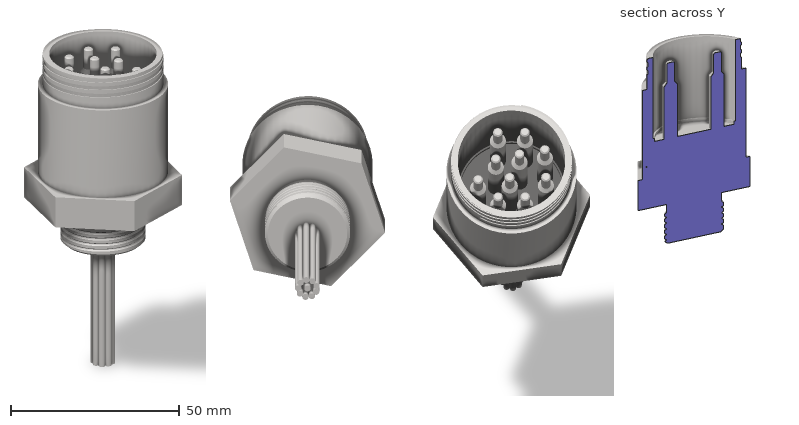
import cadquery as cq
import math

HEX_HEIGHT = 9.8
SHOULDER_Z = 38.35
RIM_Z = 48.2
STUD_LENGTH = 12.5
WIRE_LENGTH = 40.0

HEX_SIDES = 6
HEX_ACROSS_FLATS = 41.0
HEX_ACROSS_CORNERS = HEX_ACROSS_FLATS / math.cos(math.pi / HEX_SIDES)
BODY_DIAMETER = 38.8
COLLAR_DIAMETER = 36.0

BORE_DIAMETER = 32.0
BORE_DEPTH = 26.0
FLOOR_DIAMETER = 31.0
FLOOR_RECESS = 1.0
FLOOR_Z = RIM_Z - BORE_DEPTH - FLOOR_RECESS

COLLAR_PITCH = 2.42
COLLAR_GROOVE_WIDTH = 1.2
COLLAR_GROOVE_DEPTH = 0.3
COLLAR_THREAD_LENGTH = 6.8
COLLAR_GROOVE_START_Z = RIM_Z - COLLAR_THREAD_LENGTH
COLLAR_GROOVE_START_ANGLE = 170.0

NECK_DIAMETER = 24.25
NECK_LENGTH = 2.4
STUD_DIAMETER = 25.4
STUD_LEAD_IN = 0.8
STUD_END_DIAMETER = 23.6
STUD_PITCH = 1.814
STUD_GROOVE_WIDTH = 0.9
STUD_GROOVE_DEPTH = 0.55
STUD_TURNS = 5.0
STUD_GROOVE_END_GAP = 0.92
STUD_GROOVE_START_Z = STUD_GROOVE_END_GAP - STUD_LENGTH
STUD_GROOVE_START_ANGLE = 90.0

PIN_DIAMETER = 2.8
PIN_TIP_DIAMETER = 2.0
PIN_BASE_DIAMETER = 4.8
PIN_TIP_DEPTH = 2.8
PIN_TOP_Z = RIM_Z - PIN_TIP_DEPTH
PIN_EXPOSED_LENGTH = 6.4
PIN_CONE_HEIGHT = 1.1
OUTER_PIN_RADIUS = 11.0
OUTER_PIN_ANGLES = (0, 43, 137, 180, 223, 270, 317)
INNER_PIN_POINTS = ((0.0, 5.0), (-4.0, -1.0), (4.0, -1.0))

WIRE_DIAMETER = 1.9
WIRE_RING_RADIUS = 2.8
RING_WIRE_COUNT = 9
FIRST_WIRE_ANGLE = 90.0

OVERLAP = 0.5


def polar_point(radius, angle):
    radians = math.radians(angle)
    return radius * math.cos(radians), radius * math.sin(radians)


def cylinder(diameter, bottom_z, top_z):
    return cq.Workplane("XY").workplane(offset=bottom_z).circle(diameter / 2).extrude(top_z - bottom_z)


def helical_groove(section, radius, pitch, height, start_z, start_angle):
    """Sweep a section, given as (radial position, height) points, along a right-hand helix."""
    helix = cq.Wire.makeHelix(pitch, height, radius)
    groove = cq.Workplane("XZ").polyline(section).close().sweep(cq.Workplane(helix), isFrenet=True)
    return groove.rotate((0, 0, 0), (0, 0, 1), start_angle).translate((0, 0, start_z))


def make_body():
    hexagon = cq.Workplane("XY").polygon(HEX_SIDES, HEX_ACROSS_CORNERS).extrude(HEX_HEIGHT)
    return hexagon.union(cylinder(BODY_DIAMETER, 0, SHOULDER_Z))


def make_collar_groove():
    outer = COLLAR_DIAMETER / 2 + OVERLAP
    root = COLLAR_DIAMETER / 2 - COLLAR_GROOVE_DEPTH
    half_width = COLLAR_GROOVE_WIDTH / 2
    section = [(root, -half_width), (outer, -half_width), (outer, half_width), (root, half_width)]
    height = COLLAR_THREAD_LENGTH + COLLAR_GROOVE_WIDTH
    return helical_groove(
        section, root, COLLAR_PITCH, height, COLLAR_GROOVE_START_Z, COLLAR_GROOVE_START_ANGLE
    )


def make_threaded_collar():
    """Thread an over-long collar, then trim it at the rim so that the groove runs out cleanly."""
    bottom_z = SHOULDER_Z - OVERLAP
    collar = cylinder(COLLAR_DIAMETER, bottom_z, RIM_Z + 2 * COLLAR_PITCH)
    collar = collar.cut(make_collar_groove())
    return collar.intersect(cylinder(BODY_DIAMETER, bottom_z, RIM_Z))


def make_socket():
    bore = cylinder(BORE_DIAMETER, RIM_Z - BORE_DEPTH, RIM_Z)
    return bore.union(cylinder(FLOOR_DIAMETER, FLOOR_Z, RIM_Z))


def make_stud():
    neck_radius = NECK_DIAMETER / 2
    thread_radius = STUD_DIAMETER / 2
    end_radius = STUD_END_DIAMETER / 2
    profile = [
        (0, OVERLAP),
        (neck_radius, OVERLAP),
        (neck_radius, -NECK_LENGTH),
        (thread_radius, -NECK_LENGTH - (thread_radius - neck_radius)),
        (thread_radius, STUD_LEAD_IN - STUD_LENGTH),
        (end_radius, -STUD_LENGTH),
        (0, -STUD_LENGTH),
    ]
    return cq.Workplane("XZ").polyline(profile).close().revolve(360, (0, 0, 0), (0, 1, 0))


def make_stud_groove():
    outer = STUD_DIAMETER / 2 + OVERLAP
    root = STUD_DIAMETER / 2 - STUD_GROOVE_DEPTH
    half_width = STUD_GROOVE_WIDTH / 2 * (outer - root) / STUD_GROOVE_DEPTH
    section = [(root, 0), (outer, -half_width), (outer, half_width)]
    height = STUD_TURNS * STUD_PITCH
    return helical_groove(section, root, STUD_PITCH, height, STUD_GROOVE_START_Z, STUD_GROOVE_START_ANGLE)


def make_pin(point):
    pin_radius = PIN_DIAMETER / 2
    tip_radius = PIN_TIP_DIAMETER / 2
    base_radius = PIN_BASE_DIAMETER / 2
    cone_top = PIN_TOP_Z - PIN_EXPOSED_LENGTH
    profile = [
        (0, FLOOR_Z - OVERLAP),
        (base_radius, FLOOR_Z - OVERLAP),
        (base_radius, cone_top - PIN_CONE_HEIGHT),
        (pin_radius, cone_top),
        (pin_radius, PIN_TOP_Z - (pin_radius - tip_radius)),
        (tip_radius, PIN_TOP_Z),
        (0, PIN_TOP_Z),
    ]
    pin = cq.Workplane("XZ").polyline(profile).close().revolve(360, (0, 0, 0), (0, 1, 0))
    return pin.translate((point[0], point[1], 0))


def make_wires():
    step = 360 / RING_WIRE_COUNT
    points = [(0, 0)]
    for index in range(RING_WIRE_COUNT):
        points.append(polar_point(WIRE_RING_RADIUS, FIRST_WIRE_ANGLE + index * step))
    wires = cq.Workplane("XY").workplane(offset=-STUD_LENGTH - WIRE_LENGTH).pushPoints(points)
    return wires.circle(WIRE_DIAMETER / 2).extrude(WIRE_LENGTH + OVERLAP)


pin_points = [polar_point(OUTER_PIN_RADIUS, angle) for angle in OUTER_PIN_ANGLES]
pin_points.extend(INNER_PIN_POINTS)

result = make_body().union(make_threaded_collar()).cut(make_socket())
result = result.union(make_stud().cut(make_stud_groove()))
for pin_point in pin_points:
    result = result.union(make_pin(pin_point))
result = result.union(make_wires())